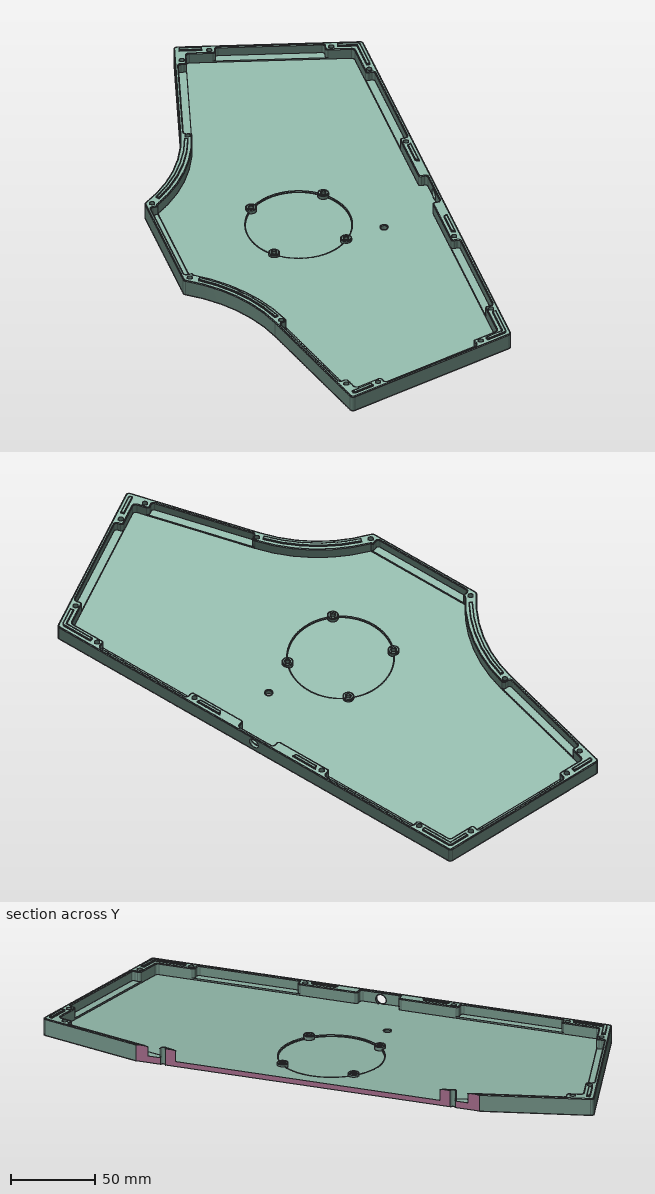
import cadquery as cq
import math

wall_top = 10.78
ridge_top = 11.78
floor_top = 3.5
bay_floor_top = 4.5

half_width = 174.23
rear_y = 86.2
front_y = rear_y - 170.04
side_corner_y = -22.3
side_tilt = math.radians(15)
curve_start_x = -93.0
front_corner_x = -38.5
corner_radius = 2.0

rim_width = 7.0
thin_wall = 2.0
bay_corner_radius = 1.6
front_mouth_radius = 0.6
edge_chamfer = 0.5
ridge_chamfer = 0.3
hole_inset = 4.25
rim_hole_diameter = 3.09
ridge_outer_inset = 2.4
ridge_inner_inset = 4.6

rear_bay = (51.0, 116.2)
side_bay = (22.6, 87.7)
lower_bay = (16.8, 82.5)
front_bay_half = 33.4
notch_half = 12.9

rear_holes = (47.1, 119.3)
side_holes = (18.8, 91.4)
lower_holes = (13.0, 84.6)
front_hole = -37.0

rear_ridge = (27.0, 43.8)
rear_ridge_bevel = 1.0
corner_ridge_rear_start = 123.0
corner_ridge_side_end = 15.0
side_ridge_start = 95.8
side_ridge_end_gap = 3.0
curve_ridge_trim_start = math.radians(2.3)
curve_ridge_trim_end = math.radians(5.0)

recess_diameter = 63.2
recess_depth = 1.0
mount_spacing = 45.0
mount_hole_diameter = 2.53
mount_hole_bottom = 1.0
mount_boss_diameter = 6.6
mount_boss_height = 1.7
cable_hole_diameter = 4.0
cable_hole_position = (17.8, 47.6)

port_diameter = 6.6
port_z = 6.0

tilt_sin = math.sin(side_tilt)
tilt_cos = math.cos(side_tilt)
corner_pull = corner_radius * (tilt_sin + tilt_cos - 1)
side_corner = (-half_width - corner_pull, side_corner_y)
rear_corner = (side_corner[0] + (rear_y - side_corner_y) * math.tan(side_tilt), rear_y)
curve_start = (
    curve_start_x,
    side_corner_y - (curve_start_x - side_corner[0]) * math.tan(side_tilt),
)
front_corner = (front_corner_x, front_y)
side_length = math.dist(rear_corner, side_corner)

chord = math.dist(curve_start, front_corner)
chord_angle = math.atan2(curve_start[1] - front_y, front_corner_x - curve_start_x)
curve_half_angle = chord_angle - side_tilt
curve_radius = chord / (2 * math.sin(curve_half_angle))
curve_center = (
    curve_start[0] - curve_radius * tilt_sin,
    curve_start[1] - curve_radius * tilt_cos,
)
curve_start_angle = math.pi / 2 - side_tilt
curve_end_angle = curve_start_angle - 2 * curve_half_angle


def on_curve(angle, radius=curve_radius):
    return (
        curve_center[0] + radius * math.cos(angle),
        curve_center[1] + radius * math.sin(angle),
    )


def mirrored(point):
    return (-point[0], point[1])


def edge_frame(origin, direction):
    return cq.Plane(origin=(*origin, 0), xDir=(*direction, 0), normal=(0, 0, 1))


rear_edge = edge_frame((0, rear_y), (-1, 0))
side_edge = edge_frame(rear_corner, (-tilt_sin, -tilt_cos))
lower_edge = edge_frame(side_corner, (tilt_cos, -tilt_sin))
front_edge = edge_frame((0, front_y), (1, 0))


def rounded_prism(inset, bottom, top, corners=(rear_corner, side_corner, front_corner)):
    """Outline moved inwards by inset, extruded, with the given corners and their mirrors rounded."""
    curve_middle = on_curve(curve_start_angle - curve_half_angle)
    sketch = (
        cq.Workplane("XY")
        .workplane(offset=bottom)
        .moveTo(*rear_corner)
        .lineTo(*side_corner)
        .lineTo(*curve_start)
        .threePointArc(curve_middle, front_corner)
        .lineTo(*mirrored(front_corner))
        .threePointArc(mirrored(curve_middle), mirrored(curve_start))
        .lineTo(*mirrored(side_corner))
        .lineTo(*mirrored(rear_corner))
        .close()
    )
    if inset:
        sketch = sketch.offset2D(-inset, "intersection")
    prism = sketch.extrude(top - bottom)
    for corner in corners:
        for x, y in (corner, mirrored(corner)):
            nearest = cq.selectors.NearestToPointSelector((x, y, (bottom + top) / 2))
            prism = prism.edges("|Z").edges(nearest).fillet(corner_radius)
    return prism


def both_sides(shape):
    return shape.union(shape.mirror("YZ"))


def bay(frame, start, end, bottom, mouth_radius=bay_corner_radius):
    """Pocket between the thin outer wall and the rim's inner face, with rounded ends."""
    r = bay_corner_radius
    return (
        cq.Workplane(frame)
        .workplane(offset=bottom)
        .moveTo(start - mouth_radius, rim_width)
        .radiusArc((start, rim_width - mouth_radius), mouth_radius)
        .lineTo(start, thin_wall + r)
        .radiusArc((start + r, thin_wall), -r)
        .lineTo(end - r, thin_wall)
        .radiusArc((end, thin_wall + r), -r)
        .lineTo(end, rim_width - mouth_radius)
        .radiusArc((end + mouth_radius, rim_width), mouth_radius)
        .close()
        .extrude(wall_top - bottom)
    )


def rim_bays():
    left = (
        bay(rear_edge, *rear_bay, bay_floor_top)
        .union(bay(side_edge, *side_bay, bay_floor_top))
        .union(bay(lower_edge, *lower_bay, bay_floor_top))
    )
    front = bay(front_edge, -front_bay_half, front_bay_half, bay_floor_top, front_mouth_radius)
    notch = bay(rear_edge, -notch_half, notch_half, floor_top)
    return both_sides(left).union(front).union(notch)


def hole_row(frame, distances):
    return (
        cq.Workplane(frame)
        .pushPoints([(distance, hole_inset) for distance in distances])
        .circle(rim_hole_diameter / 2)
        .extrude(wall_top)
    )


def rim_holes():
    left = (
        hole_row(rear_edge, rear_holes)
        .union(hole_row(side_edge, side_holes))
        .union(hole_row(lower_edge, lower_holes))
        .union(hole_row(front_edge, [front_hole]))
    )
    return both_sides(left)


def ridge_zone(frame, points):
    return cq.Workplane(frame).polyline(points).close().extrude(ridge_top)


def strip_zone(frame, start, end):
    depth = ridge_inner_inset
    return ridge_zone(frame, [(start, 0), (end, 0), (end, depth), (start, depth)])


def ridges():
    """Raised ridge along the rim, kept only in the zones away from the bays and holes."""
    band = rounded_prism(ridge_outer_inset, wall_top, ridge_top).cut(
        rounded_prism(ridge_inner_inset, wall_top, ridge_top)
    )
    near, far = rear_ridge
    bevelled = ridge_zone(
        rear_edge,
        [
            (near, ridge_outer_inset),
            (far, ridge_outer_inset),
            (far - rear_ridge_bevel, ridge_inner_inset),
            (near + rear_ridge_bevel, ridge_inner_inset),
        ],
    )
    corner = strip_zone(rear_edge, corner_ridge_rear_start, -rear_corner[0] + rim_width).union(
        strip_zone(side_edge, 0, corner_ridge_side_end)
    )
    side = strip_zone(side_edge, side_ridge_start, side_length - side_ridge_end_gap)
    reach = curve_radius + 2 * rim_width
    curve = ridge_zone(
        cq.Plane.XY(),
        [
            curve_center,
            on_curve(curve_start_angle - curve_ridge_trim_start, reach),
            on_curve(curve_end_angle + curve_ridge_trim_end, reach),
        ],
    )
    left_zones = bevelled.union(corner).union(side).union(curve)
    return band.intersect(both_sides(left_zones)).faces(">Z").chamfer(ridge_chamfer)


def chamfered_hole(center, diameter, bottom, top):
    """Cutter for a hole between two heights, with a chamfered mouth at the top."""
    mouth = diameter / 2 + edge_chamfer
    return (
        cq.Workplane("XY", origin=(*center, bottom))
        .circle(diameter / 2)
        .extrude(top - bottom)
        .union(
            cq.Workplane("XY", origin=(*center, top))
            .circle(mouth)
            .extrude(-edge_chamfer, taper=45)
        )
    )


def floor_recess():
    recess = (
        cq.Workplane("XY", origin=(0, 0, floor_top - recess_depth))
        .circle(recess_diameter / 2)
        .extrude(recess_depth)
    )
    chamfer = (
        cq.Workplane("XY", origin=(0, 0, floor_top))
        .circle(recess_diameter / 2 + edge_chamfer)
        .extrude(-edge_chamfer, taper=45)
    )
    return recess.union(chamfer)


def mount_points():
    half = mount_spacing / 2
    return [(x, y) for x in (-half, half) for y in (-half, half)]


def add_mounts(body):
    """Four screw bosses straddling the edge of the round recess."""
    boss_top = floor_top + mount_boss_height
    bosses = (
        cq.Workplane("XY")
        .pushPoints(mount_points())
        .circle(mount_boss_diameter / 2)
        .extrude(boss_top)
        .faces(">Z")
        .chamfer(edge_chamfer)
    )
    body = body.union(bosses)
    for point in mount_points():
        hole = chamfered_hole(point, mount_hole_diameter, mount_hole_bottom, boss_top)
        body = body.cut(hole)
    return body


def rear_port():
    return (
        cq.Workplane("XZ", origin=(0, rear_y, port_z))
        .circle(port_diameter / 2)
        .extrude(thin_wall)
    )


cavity = rounded_prism(rim_width, floor_top, wall_top, (rear_corner, side_corner))
tray = rounded_prism(0, 0, wall_top).cut(cavity)
tray = tray.cut(rim_bays()).faces(">Z").chamfer(edge_chamfer)
tray = tray.union(ridges()).cut(rim_holes())
tray = add_mounts(tray.cut(floor_recess()))
tray = tray.cut(chamfered_hole(cable_hole_position, cable_hole_diameter, 0, floor_top))
result = tray.cut(rear_port())